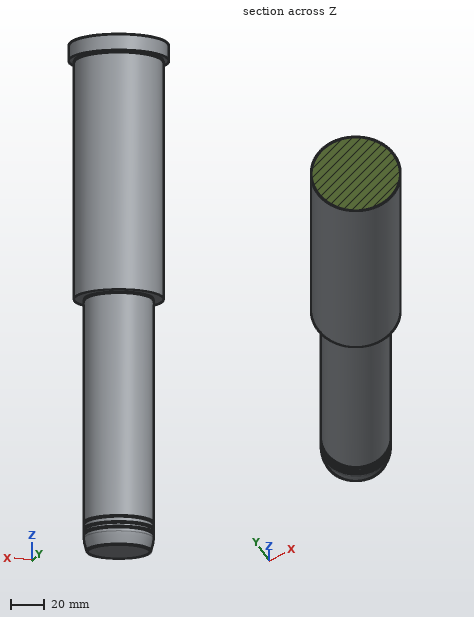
import cadquery as cq

total_length = 311.0
head_height = 10.0
pin_length = 155.0
body_top = total_length - head_height

head_diameter = 60.0
body_diameter = 53.8
pin_diameter = 42.0
tip_diameter = 38.5

head_chamfer = 0.5
tip_chamfer = 0.5

nose_height = 8.0
nose_bulge = 0.3

groove_depth = 0.3
groove_width = 1.0
ring_groove_bottoms = (10.3, 13.0, 16.8)


def cylinder(diameter, bottom, top):
    return cq.Workplane("XY").workplane(offset=bottom).circle(diameter / 2).extrude(top - bottom)


def make_pin():
    """Guide pin with a convex nose."""
    pin_radius = pin_diameter / 2
    tip_radius = tip_diameter / 2
    nose_middle_radius = (pin_radius + tip_radius) / 2 + nose_bulge
    nose_middle_height = (nose_height + tip_chamfer) / 2
    profile = (
        cq.Workplane("XZ")
        .lineTo(tip_radius - tip_chamfer, 0)
        .lineTo(tip_radius, tip_chamfer)
        .threePointArc((nose_middle_radius, nose_middle_height), (pin_radius, nose_height))
        .lineTo(pin_radius, pin_length)
        .lineTo(0, pin_length)
        .close()
    )
    return profile.revolve(360, (0, 0, 0), (0, 1, 0))


def make_groove(diameter, bottom):
    """Ring to remove from the outside of a shaft of the given diameter."""
    outer = cylinder(diameter, bottom, bottom + groove_width)
    inner = cylinder(diameter - 2 * groove_depth, bottom, bottom + groove_width)
    return outer.cut(inner)


head = cylinder(head_diameter, body_top, total_length).faces(">Z").edges().chamfer(head_chamfer)
body = cylinder(body_diameter, pin_length, body_top)

result = make_pin().union(body).union(head)

for groove_bottom in ring_groove_bottoms:
    result = result.cut(make_groove(pin_diameter, groove_bottom))

for shaft_diameter, shoulder_height in ((pin_diameter, pin_length), (body_diameter, body_top)):
    result = result.cut(make_groove(shaft_diameter, shoulder_height - groove_width))